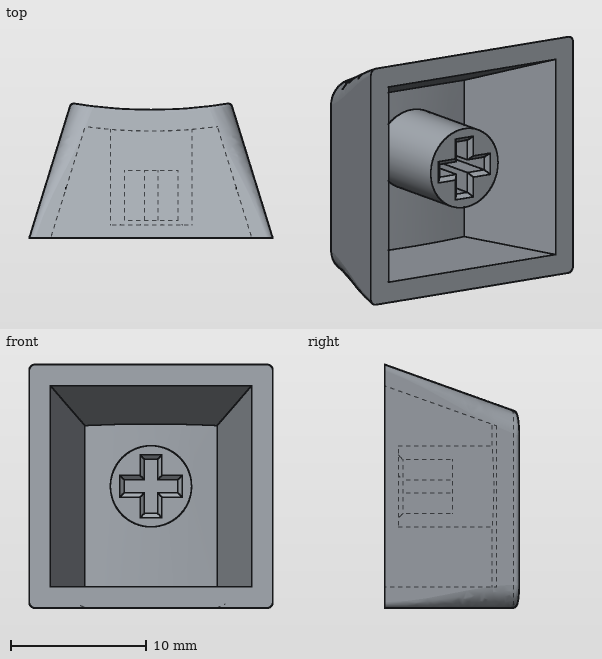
import cadquery as cq
import math

rim_size = 18.0
rim_half = rim_size / 2
height = 9.95
side_taper = 3.08
upper_taper = 3.56
rim_corner_radius = 0.45
crown_corner_radius = 1.73
section_count = 7

dish_radius = 34.56
dish_floor = 9.49
dish_axis_y = dish_floor + dish_radius
dish_clearance = 0.9
blank_height = height + dish_clearance
crown_fillet = 0.32

wall = 1.57
cavity_half = rim_half - wall
roof_thickness = 1.57

stem_diameter = 6.0
stem_recess = 1.0
cross_length = 3.98
cross_width = 0.97
cross_depth = 4.0
cross_bevel = 0.32
bevel_angle = 45


def shell_section(y):
    """Rounded outer section at depth y; corners grow smoothly from rim to crown."""
    t = y / height
    blend = (1 - math.cos(math.pi * t)) / 2
    radius = rim_corner_radius + (crown_corner_radius - rim_corner_radius) * blend
    right = rim_half - side_taper * t
    top = rim_half - upper_taper * t
    bottom = -rim_half
    inset = radius * (1 - math.sqrt(0.5))
    outline = (
        cq.Workplane(cq.Plane((0, y, 0), xDir=(1, 0, 0), normal=(0, -1, 0)))
        .moveTo(-right + radius, bottom)
        .lineTo(right - radius, bottom)
        .threePointArc((right - inset, bottom + inset), (right, bottom + radius))
        .lineTo(right, top - radius)
        .threePointArc((right - inset, top - inset), (right - radius, top))
        .lineTo(-right + radius, top)
        .threePointArc((-right + inset, top - inset), (-right, top - radius))
        .lineTo(-right, bottom + radius)
        .threePointArc((-right + inset, bottom + inset), (-right + radius, bottom))
        .close()
    )
    return outline.val()


def dish_cylinder(radius):
    """Cylinder along Z, on the axis shared by the crown dish and the cavity roof."""
    return (
        cq.Workplane("XY", origin=(0, dish_axis_y, -rim_size))
        .circle(radius)
        .extrude(2 * rim_size)
    )


def make_shell():
    step = blank_height / (section_count - 1)
    sections = [shell_section(i * step) for i in range(section_count)]
    blank = cq.Workplane(cq.Solid.makeLoft(sections))
    dished = blank.cut(dish_cylinder(dish_radius))
    return dished.faces("%CYLINDER").edges().fillet(crown_fillet)


def make_cavity():
    """Hollow with walls parallel to the outside and a roof concentric with the dish."""
    def section(y):
        t = y / height
        half = cavity_half - side_taper * t
        top = cavity_half - upper_taper * t
        corners = [(-half, y, -cavity_half), (half, y, -cavity_half), (half, y, top), (-half, y, top)]
        return cq.Wire.makePolygon([cq.Vector(*c) for c in corners], close=True)

    hollow = cq.Workplane(cq.Solid.makeLoft([section(0), section(height)], True))
    return hollow.cut(dish_cylinder(dish_radius + roof_thickness))


def cross_prism(length, width, depth, taper=0):
    """Cross cut inward from the stem face."""
    face = cq.Workplane("XZ", origin=(0, stem_recess, 0))
    across = face.rect(length, width).extrude(-depth, taper=taper)
    return across.union(face.rect(width, length).extrude(-depth, taper=taper))


def make_stem():
    stem_length = dish_floor - roof_thickness / 2 - stem_recess
    return (
        cq.Workplane("XZ", origin=(0, stem_recess, 0))
        .circle(stem_diameter / 2)
        .extrude(-stem_length)
    )


def make_socket():
    mouth_length = cross_length + 2 * cross_bevel
    mouth_width = cross_width + 2 * cross_bevel
    mouth = cross_prism(mouth_length, mouth_width, cross_bevel, bevel_angle)
    return mouth.union(cross_prism(cross_length, cross_width, cross_depth))


result = make_shell().cut(make_cavity()).union(make_stem()).cut(make_socket())